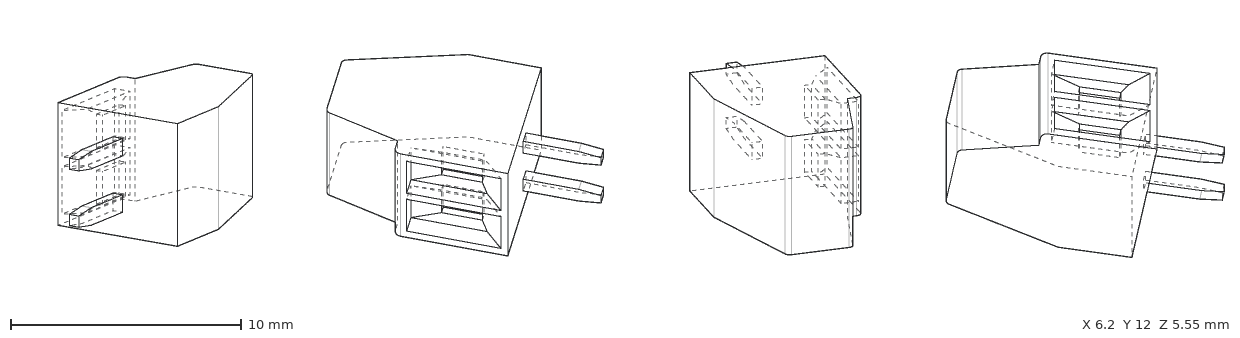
import cadquery as cq

body_width = 6.2
body_height = 5.55
body_length = 8.52
shoulder_y = 5.1
shoulder_width = 0.7
nose_inset = 1.6
knee_y = 3.26
shoulder_radius = 0.29
nose_radius = 0.24

pole_pitch = 2.55
pole_heights = (-pole_pitch / 2, pole_pitch / 2)

mouth_y = (0.31, 4.52)
mouth_height = 2.14
throat_y = (1.4, 3.23)
throat_top_inset = 0.25
throat_bottom_inset = 0.36
mouth_depth = 0.79
funnel_depth = 1.08
throat_depth = 1.4

pin_length = 12.0 - body_length
pin_width = 0.49
pin_height = 0.79
pin_tip_height = 0.5
pin_taper_length = 1.0

left_x = -body_width / 2
right_x = body_width / 2


def make_housing():
    outline = [
        (left_x, 0),
        (right_x, 0),
        (right_x, knee_y),
        (right_x - nose_inset, body_length),
        (left_x + nose_inset, body_length),
        (left_x + shoulder_width, shoulder_y),
        (left_x, shoulder_y),
    ]
    housing = (
        cq.Workplane("XY")
        .workplane(offset=-body_height / 2)
        .polyline(outline)
        .close()
        .extrude(body_height)
    )
    housing = housing.edges("|Z").edges(">Y").fillet(nose_radius)
    shoulder_corner = cq.selectors.NearestToPointSelector((left_x, shoulder_y, 0))
    return housing.edges("|Z").edges(shoulder_corner).fillet(shoulder_radius)


def entry_section(depth, y_range, z_range):
    """Rectangular wire at a depth inside the wire-entry side."""
    x = left_x + depth
    corners = [(y_range[0], z_range[0]), (y_range[1], z_range[0]),
               (y_range[1], z_range[1]), (y_range[0], z_range[1])]
    return cq.Wire.makePolygon([cq.Vector(x, y, z) for y, z in corners], close=True)


def make_entry(z):
    mouth_z = (z - mouth_height / 2, z + mouth_height / 2)
    throat_z = (mouth_z[0] + throat_bottom_inset, mouth_z[1] - throat_top_inset)
    slope_run = (throat_y[0] - mouth_y[0]) * mouth_depth / funnel_depth
    funnel_y = (mouth_y[0] + slope_run, mouth_y[1])
    sections = [
        entry_section(0, mouth_y, mouth_z),
        entry_section(mouth_depth, funnel_y, mouth_z),
        entry_section(funnel_depth, throat_y, throat_z),
        entry_section(throat_depth, throat_y, throat_z),
    ]
    entry = cq.Workplane("XY")
    for outer, inner in zip(sections, sections[1:]):
        entry = entry.union(cq.Workplane(cq.Solid.makeLoft([outer, inner], True)))
    return entry


def make_pin(z):
    taper_y = pin_taper_length - pin_length
    outline = [
        (0, z - pin_height / 2),
        (taper_y, z - pin_height / 2),
        (-pin_length, z - pin_tip_height / 2),
        (-pin_length, z + pin_tip_height / 2),
        (taper_y, z + pin_height / 2),
        (0, z + pin_height / 2),
    ]
    return cq.Workplane("YZ").polyline(outline).close().extrude(pin_width / 2, both=True)


result = make_housing()
for pole_z in pole_heights:
    result = result.cut(make_entry(pole_z)).union(make_pin(pole_z))